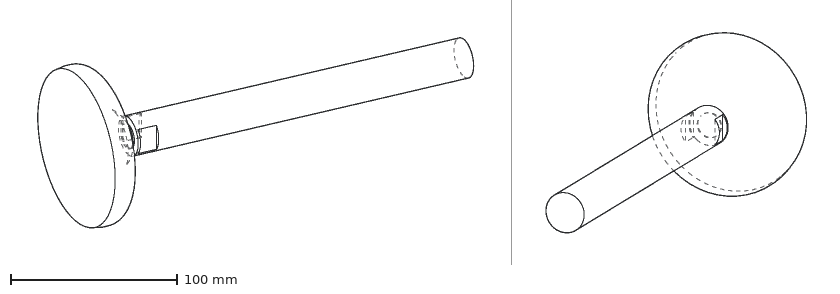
import cadquery as cq
import math

total_length = 265.0

base_radius = 100.0 / 2
bottom_radius = 49.0
taper_height = 5.5
rim_height = 8.7
shoulder_radius = 7.7
cone_angle = math.radians(18.7)

dome_radius = 23.0
dome_center_y = 12.7
fillet_radius = 4.2

neck_radius = 7.7
stem_radius = 12.5
stem_start = 35.5
flat_start = 37.0
flat_end = 49.5
flat_half_width = 9.5


def shoulder_point(angle):
    """Point (radius, height) on the rounded shoulder, with the angle measured from the rim."""
    center_radius = base_radius - shoulder_radius
    return (
        center_radius + shoulder_radius * math.cos(angle),
        rim_height + shoulder_radius * math.sin(angle),
    )


def dome_point(angle):
    """Point (radius, height) on the dome, with the angle measured from its apex."""
    return (dome_radius * math.sin(angle), dome_center_y + dome_radius * math.cos(angle))


def make_base():
    """Revolved base: tapered rim, rounded shoulder, cone, fillet and dome cut off at the neck."""
    shoulder_sweep = math.pi / 2 - cone_angle
    shoulder_end = shoulder_point(shoulder_sweep)
    neck_angle = math.asin(neck_radius / dome_radius)

    across = (
        shoulder_end[0] * math.sin(cone_angle)
        + (shoulder_end[1] - dome_center_y) * math.cos(cone_angle)
        + fillet_radius
    )
    along = math.sqrt((dome_radius + fillet_radius) ** 2 - across**2)
    fillet_center_radius = across * math.sin(cone_angle) + along * math.cos(cone_angle)
    fillet_center_y = dome_center_y + across * math.cos(cone_angle) - along * math.sin(cone_angle)
    fillet_angle = math.atan2(fillet_center_radius, fillet_center_y - dome_center_y)

    def fillet_point(angle):
        return (
            fillet_center_radius - fillet_radius * math.sin(angle),
            fillet_center_y - fillet_radius * math.cos(angle),
        )

    return (
        cq.Workplane("XY")
        .lineTo(bottom_radius, 0)
        .lineTo(base_radius, taper_height)
        .lineTo(base_radius, rim_height)
        .threePointArc(shoulder_point(shoulder_sweep / 2), shoulder_end)
        .lineTo(*fillet_point(cone_angle))
        .threePointArc(fillet_point((cone_angle + fillet_angle) / 2), dome_point(fillet_angle))
        .threePointArc(dome_point((fillet_angle + neck_angle) / 2), dome_point(neck_angle))
        .lineTo(neck_radius, stem_start)
        .lineTo(0, stem_start)
        .close()
        .revolve(360, (0, 0), (0, 1))
    )


def make_stem():
    """Round stem with two wrench flats near its lower end."""
    stem = (
        cq.Workplane("XZ", origin=(0, stem_start, 0))
        .circle(stem_radius)
        .extrude(stem_start - total_length)
    )
    flat_length = flat_end - flat_start
    flat_middle = (flat_start + flat_end) / 2
    cutter_width = stem_radius
    for side in (-1, 1):
        cutter = cq.Workplane("XY").box(cutter_width, flat_length, 2 * stem_radius)
        offset = side * (flat_half_width + cutter_width / 2)
        stem = stem.cut(cutter.translate((offset, flat_middle, 0)))
    return stem


result = make_base().union(make_stem())